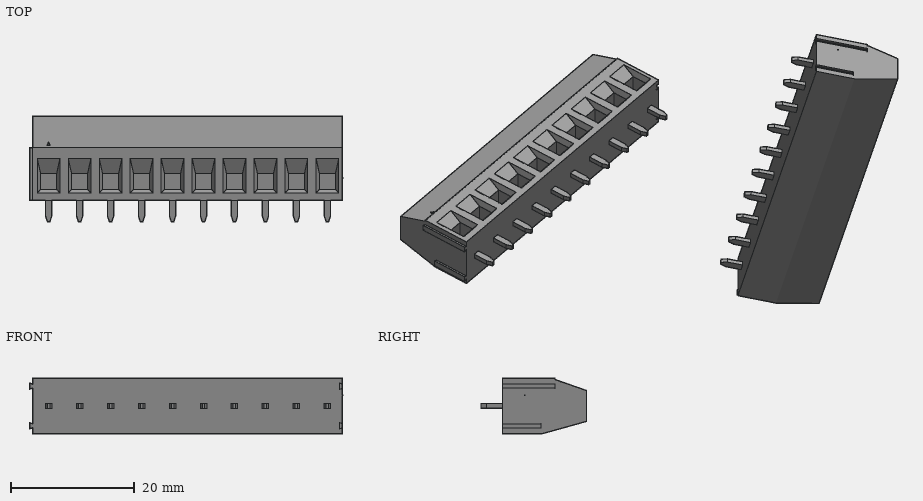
import cadquery as cq


pole_count = 10
pitch = 5.0
pole_offset = 0.07
length = pole_count * pitch
height = 9.0
depth = 13.6
top_z = height / 2
bottom_z = -height / 2
end_x = length / 2

top_flat_depth = 8.5
top_step = 0.22
bottom_flat_depth = 6.4
back_top_z = top_z - 2.0
back_bottom_z = bottom_z + 2.0
back_edge_radius = 0.2

rib_projection = 0.5
rib_root_width = 0.65
rib_tip_width = 1.05
rib_inset = 1.3
bottom_rib_depth = 6.2

mouth_width = 3.65
mouth_front_y = 1.2
mouth_back_y = 6.7
funnel_depth = 0.9
well_side = 2.6
well_front_y = 1.75
well_depth = 4.0

pin_width = 1.05
pin_thickness = 0.8
pin_length = 3.5
pin_taper_length = 0.95
pin_tip_width = 0.4

marker_width = 0.5
marker_length = 0.55
marker_front_y = 8.9
marker_recess = 0.2

pip_projection = 0.07
pip_diameter = 0.12
pip_y = 3.6
pip_z = top_z - 2.75

pole_positions = [pole_offset + (i - (pole_count - 1) / 2) * pitch for i in range(pole_count)]


def make_housing():
    """Extrude the end outline along X and round the two back edges."""
    outline = [
        (0, bottom_z),
        (bottom_flat_depth, bottom_z),
        (depth, back_bottom_z),
        (depth, back_top_z),
        (top_flat_depth, top_z - top_step),
        (top_flat_depth, top_z),
        (0, top_z),
    ]
    housing = cq.Workplane("YZ", origin=(-end_x, 0, 0)).polyline(outline).close().extrude(length)
    return housing.edges("|X and >Y").fillet(back_edge_radius)


def make_dovetail(root_x, center_z, run):
    """Dovetail bar that widens towards -X and runs back from the pin face."""
    tip_x = root_x - rib_projection
    section = [
        (root_x, center_z - rib_root_width / 2),
        (tip_x, center_z - rib_tip_width / 2),
        (tip_x, center_z + rib_tip_width / 2),
        (root_x, center_z + rib_root_width / 2),
    ]
    return cq.Workplane("XZ").polyline(section).close().extrude(-run)


def make_opening(x):
    """Funnel below the top face with a square well under it."""
    mouth_length = mouth_back_y - mouth_front_y
    mouth_y = (mouth_front_y + mouth_back_y) / 2
    well_y = well_front_y + well_side / 2
    funnel = (
        cq.Workplane("XY", origin=(x, 0, top_z))
        .center(0, mouth_y)
        .rect(mouth_width, mouth_length)
        .workplane(offset=-funnel_depth)
        .center(0, well_y - mouth_y)
        .rect(well_side, well_side)
        .loft(ruled=True)
    )
    well = (
        cq.Workplane("XY", origin=(x, well_y, top_z - funnel_depth))
        .rect(well_side, well_side)
        .extrude(-well_depth)
    )
    return funnel.union(well)


def make_pin(x):
    """Flat pin pointing to -Y with a tip narrowed in X."""
    taper_y = pin_taper_length - pin_length
    outline = [
        (x - pin_width / 2, 0),
        (x - pin_width / 2, taper_y),
        (x - pin_tip_width / 2, -pin_length),
        (x + pin_tip_width / 2, -pin_length),
        (x + pin_width / 2, taper_y),
        (x + pin_width / 2, 0),
    ]
    return (
        cq.Workplane("XY", origin=(0, 0, -pin_thickness / 2))
        .polyline(outline)
        .close()
        .extrude(pin_thickness)
    )


def make_marker(x):
    """Triangle sunk square into the top slope, pointing to the back."""
    slope_run = depth - top_flat_depth
    slope_start_z = top_z - top_step
    slope = (back_top_z - slope_start_z) / slope_run
    front_z = slope_start_z + slope * (marker_front_y - top_flat_depth)
    base = cq.Plane(origin=(x, marker_front_y, front_z), xDir=(1, 0, 0), normal=(0, -slope, 1))
    triangle = [(-marker_width / 2, 0), (marker_width / 2, 0), (0, marker_length)]
    return cq.Workplane(base).polyline(triangle).close().extrude(-marker_recess)


def make_pip():
    """Tiny round pip standing out of the +X end."""
    return (
        cq.Workplane("YZ", origin=(end_x, pip_y, pip_z))
        .circle(pip_diameter / 2)
        .extrude(pip_projection)
    )


result = make_housing()

for center_z, run in ((top_z - rib_inset, top_flat_depth), (bottom_z + rib_inset, bottom_rib_depth)):
    result = result.union(make_dovetail(-end_x, center_z, run))
    result = result.cut(make_dovetail(end_x, center_z, run))

for pole_x in pole_positions:
    result = result.cut(make_opening(pole_x))
    result = result.union(make_pin(pole_x))

result = result.cut(make_marker(pole_positions[0]))
result = result.union(make_pip())